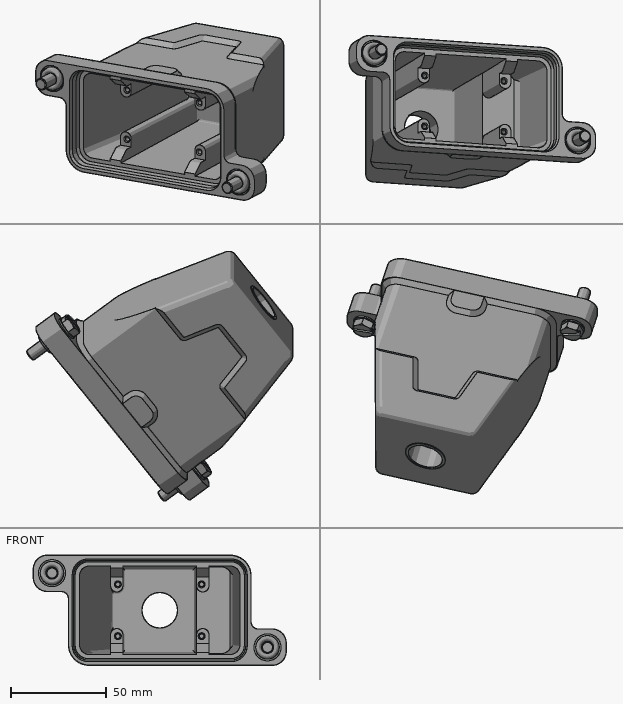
import cadquery as cq
import math


flange_half_x = 48.0
flange_half_z = 29.0
flange_thickness = 12.4
flange_corner_radius = 11.0
ear_reach = 66.5
ear_height = 19.2
ear_corner_radius = 7.5
ear_root_radius = 3.8

skirt_height = 2.5
neck_half_x = flange_half_x - 3.0
neck_half_z = flange_half_z - 2.6
neck_corner_radius = 8.6
hood_length = 99.5
taper_start_y = 35.2
back_half_x = 27.2
side_slope = (neck_half_x - back_half_x) / (hood_length - taper_start_y)
block_edge_radius = 4.0
back_edge_radius = 4.8
block_step = flange_half_z - neck_half_z
block_start_y = 57.8
panel_base_half_x = 15.5
panel_top_half_x = 10.2
panel_top_y = 77.6
panel_base_radius = 3.0
panel_top_radius = 0.5
arch_height = 2.4
arch_half_x = 10.6
arch_top_y = 24.9
arch_corner_radius = 6.9

cable_hole_diameter = 18.5
entry_rim_diameter = 21.6
entry_rim_height = 0.5
entry_rim_root = 2.0

recess_half_x = 46.0
recess_half_z = 27.0
recess_corner_radius = 8.5
recess_step = 0.8
recess_mouth_y = 1.7
recess_wall_end_y = 5.8
recess_depth = 8.0

post_x = 22.6
post_width = 6.4
post_inner_z = 9.65
post_tip_y = 18.8
post_end_flat = 0.1
ramp_foot_z = 22.1
ramp_head_z = 17.4
ramp_head_y = 14.0
ramp_crest_radius = 3.0
post_hole_x = 22.0
post_hole_z = 13.6
post_hole_diameter = 2.4
post_hole_mouth = 3.6
post_hole_depth = 8.0

cavity_half_x = 42.2
cavity_half_z = 23.3
cavity_floor_half_z = 22.1
cavity_corner_radius = 5.4
knee_half_x = 38.4
knee_y = 40.0
cavity_floor_y = 88.0
shelf_y = 45.5
shelf_inner_x = 19.2
shelf_wall_draft = 0.8
floor_fillet = 1.2

screw_x = 56.6
screw_z = 19.5
shaft_diameter = 6.3
shaft_end_y = -11.7
shaft_chamfer = 0.5
collar_diameter = 12.5
collar_height = 0.9
head_top_y = 17.5
hex_corner_diameter = 11.8
hex_angles = (7.3, 24.0)
half_hex_step = 30.0
slot_width = 1.5
slot_depth = 1.9
head_chamfer = 0.6
ring_diameter = 12.4
ring_end_y = -1.9
ring_seat_diameter = 14.2
ring_seat_depth = 1.0


def section_at(y):
    """Workplane across the hood at depth y: local x is X, local y is Z, positive extrusion runs towards -Y."""
    return cq.Workplane(cq.Plane(origin=(0, y, 0), xDir=(1, 0, 0), normal=(0, -1, 0)))


def rounded_block(half_x, half_z, radius, start_y, end_y, taper=0):
    """Rounded rectangular prism along Y, shrinking by the taper angle towards end_y."""
    outline = cq.Sketch().rect(2 * half_x, 2 * half_z).vertices().fillet(radius)
    return section_at(start_y).placeSketch(outline).extrude(start_y - end_y, taper=taper)


def cylinder_y(x, z, diameter, start_y, end_y):
    return section_at(start_y).center(x, z).circle(diameter / 2).extrude(start_y - end_y)


def side_x(y):
    """Half width of the tapered hood outside at depth y."""
    return neck_half_x - side_slope * (y - taper_start_y)


def flange():
    """Mounting flange with one screw ear at each of two opposite corners."""
    ear_inner_z = flange_half_z - ear_height
    half_outline = [
        (flange_half_x, flange_half_z),
        (-ear_reach, flange_half_z),
        (-ear_reach, ear_inner_z),
        (-flange_half_x, ear_inner_z),
    ]
    outline = half_outline + [(-x, -z) for x, z in half_outline]
    plate = section_at(0).polyline(outline).close().extrude(-flange_thickness)

    def fillet_corners(body, corner, radius):
        x, z = corner
        picks = [cq.selectors.NearestToPointSelector((s * x, flange_thickness / 2, s * z)) for s in (1, -1)]
        return body.edges("|Y").edges(picks[0] + picks[1]).fillet(radius)

    radii = [flange_corner_radius, ear_corner_radius, ear_corner_radius, ear_root_radius]
    for corner, radius in zip(half_outline, radii):
        plate = fillet_corners(plate, corner, radius)
    return plate


def hood_outline(start_y):
    """Plan outline of the hood from start_y to its cable end."""
    points = [(side_x(start_y), start_y), (back_half_x, hood_length)]
    if start_y < taper_start_y:
        points = [(neck_half_x, start_y), (neck_half_x, taper_start_y), (back_half_x, hood_length)]
    mirrored = [(-x, y) for x, y in reversed(points)]
    return cq.Workplane("XY").polyline(points + mirrored).close()


def neck():
    """Rounded lower hood, trimmed by the sloping sides, with a flared skirt on the flange."""
    barrel = rounded_block(neck_half_x, neck_half_z, neck_corner_radius, 0, block_start_y)
    trim = hood_outline(0).extrude(flange_half_z, both=True)
    skirt = rounded_block(
        neck_half_x + skirt_height,
        neck_half_z + skirt_height,
        neck_corner_radius + skirt_height,
        flange_thickness,
        flange_thickness + skirt_height,
        taper=45,
    )
    return barrel.intersect(trim).union(skirt)


def sunken_panel():
    """Bevelled pocket above the neck that rises as a trapezoid into the thick end of the hood."""
    points = [
        (2 * neck_half_x, 0),
        (2 * neck_half_x, block_start_y),
        (panel_base_half_x, block_start_y),
        (panel_top_half_x, panel_top_y),
    ]
    mirrored = [(-x, y) for x, y in reversed(points)]
    outline = cq.Sketch().polygon(points + mirrored + points[:1])
    for (x, y), radius in ((points[2], panel_base_radius), (points[3], panel_top_radius)):
        for corner_x in (x, -x):
            corner = cq.selectors.NearestToPointSelector((corner_x, y, 0))
            outline = outline.reset().vertices(corner).fillet(radius)
    pocket = cq.Workplane("XY").workplane(offset=neck_half_z).placeSketch(outline.reset())
    return pocket.extrude(block_step, taper=-45)


def thick_end():
    """Full-height cable end of the hood with rounded edges."""
    block = hood_outline(block_start_y).extrude(flange_half_z, both=True)
    block = block.edges("|X and >Y").fillet(back_edge_radius)
    block = block.edges("not(<Y or |X)").fillet(block_edge_radius)
    panel = sunken_panel()
    return block.cut(panel).cut(panel.mirror("XY"))


def latch_arch():
    """Bevelled arch-shaped pad that joins the hood to the flange edge."""
    outline = (
        cq.Workplane("XY")
        .workplane(offset=neck_half_z)
        .moveTo(-arch_half_x, 0)
        .lineTo(arch_half_x, 0)
        .lineTo(arch_half_x, arch_top_y - arch_corner_radius)
        .radiusArc((arch_half_x - arch_corner_radius, arch_top_y), -arch_corner_radius)
        .lineTo(arch_corner_radius - arch_half_x, arch_top_y)
        .radiusArc((-arch_half_x, arch_top_y - arch_corner_radius), -arch_corner_radius)
        .close()
    )
    return outline.extrude(arch_height, taper=45)


def seal_recess():
    """Recess with a bevelled mouth, a straight wall and a bevelled foot; its floor is the cavity ledge."""
    wall_half_x = recess_half_x - recess_step
    wall_half_z = recess_half_z - recess_step
    wall_radius = recess_corner_radius - recess_step
    mouth_angle = math.degrees(math.atan(recess_step / recess_mouth_y))
    foot_angle = math.degrees(math.atan(recess_step / (recess_depth - recess_wall_end_y)))
    mouth = rounded_block(recess_half_x, recess_half_z, recess_corner_radius, 0, recess_mouth_y, mouth_angle)
    wall = rounded_block(wall_half_x, wall_half_z, wall_radius, recess_mouth_y, recess_wall_end_y)
    foot = rounded_block(wall_half_x, wall_half_z, wall_radius, recess_wall_end_y, recess_depth, foot_angle)
    return mouth.union(wall).union(foot)


def post(side, z_side):
    """Insert post rising from the cavity wall, with a ramped foot at the ledge."""
    far_z = cavity_half_z + 1
    profile = [
        (recess_depth, far_z),
        (recess_depth, ramp_foot_z),
        (ramp_head_y, ramp_head_z),
        (post_tip_y, ramp_head_z),
        (post_tip_y, post_inner_z),
        (cavity_floor_y, post_inner_z),
        (cavity_floor_y, far_z),
    ]
    bar = cq.Workplane("YZ").workplane(offset=side * post_x).polyline(profile).close()
    bar = bar.extrude(post_width / 2, both=True)
    bar = bar.edges("|Y and <Z").fillet((post_width - post_end_flat) / 2)
    crest = cq.selectors.NearestToPointSelector((side * post_x, ramp_head_y, ramp_head_z))
    bar = bar.edges(crest).fillet(ramp_crest_radius)
    return bar if z_side > 0 else bar.mirror("XY")


def post_hole(x, z):
    """Blind hole in a post tip with a countersunk mouth."""
    sink_depth = (post_hole_mouth - post_hole_diameter) / 2
    hole = cylinder_y(x, z, post_hole_diameter, post_tip_y, post_tip_y + post_hole_depth)
    mouth = section_at(post_tip_y).center(x, z).circle(post_hole_mouth / 2).extrude(-sink_depth, taper=45)
    return hole.union(mouth)


def cavity():
    """Inside space: one sloping side wall, a shelf on the other side, and four posts left standing."""
    floor_x = knee_half_x - side_slope * (cavity_floor_y - knee_y)
    shelf_x = knee_half_x - side_slope * (shelf_y - knee_y)
    plan = [
        (-cavity_half_x, recess_depth),
        (-knee_half_x, knee_y),
        (-floor_x, cavity_floor_y),
        (shelf_inner_x - shelf_wall_draft, cavity_floor_y),
        (shelf_inner_x, shelf_y),
        (shelf_x, shelf_y),
        (knee_half_x, knee_y),
        (cavity_half_x, recess_depth),
    ]
    height = [
        (recess_depth, cavity_half_z),
        (cavity_floor_y, cavity_floor_half_z),
        (cavity_floor_y, -cavity_floor_half_z),
        (recess_depth, -cavity_half_z),
    ]
    space = cq.Workplane("XY").polyline(plan).close().extrude(flange_half_z, both=True)
    space = space.intersect(cq.Workplane("YZ").polyline(height).close().extrude(neck_half_x, both=True))
    side_edges = space.edges(cq.selectors.BoxSelector((-60, 9, -30), (-20, 80, 30)))
    side_edges = side_edges.add(space.edges(cq.selectors.BoxSelector((37, 9, -30), (60, 40, 30))))
    space = side_edges.edges("not(|Z)").fillet(cavity_corner_radius)
    for side in (1, -1):
        for z_side in (1, -1):
            space = space.cut(post(side, z_side))
    space = space.faces(">Y").edges().fillet(floor_fillet)
    for side in (1, -1):
        for z_side in (1, -1):
            space = space.union(post_hole(side * post_hole_x, z_side * post_hole_z))
    return space


def cable_entry():
    return cylinder_y(0, 0, cable_hole_diameter, recess_depth, 2 * hood_length)


def hood_housing():
    """Flange, hood and pads joined, then hollowed and drilled for the screws."""
    body = flange().union(neck()).union(thick_end())
    arch = latch_arch()
    body = body.union(arch).union(arch.mirror("XY"))
    rim_start_y = hood_length - entry_rim_root
    body = body.union(cylinder_y(0, 0, entry_rim_diameter, rim_start_y, hood_length + entry_rim_height))
    body = body.cut(seal_recess()).cut(cavity()).cut(cable_entry())
    for side in (1, -1):
        x = -side * screw_x
        z = side * screw_z
        body = body.cut(cylinder_y(x, z, shaft_diameter, 0, flange_thickness))
        body = body.cut(cylinder_y(x, z, ring_seat_diameter, 0, ring_seat_depth))
    return body


def locking_screw(side, hex_angle):
    """Hex screw with collar, slotted head and a rounded retaining ring under the flange."""
    x = -side * screw_x
    z = side * screw_z
    head_y = flange_thickness + collar_height
    shaft = cylinder_y(0, 0, shaft_diameter, shaft_end_y, head_y).faces("<Y").chamfer(shaft_chamfer)
    collar = cylinder_y(0, 0, collar_diameter, flange_thickness, head_y)
    head = section_at(head_y).transformed(rotate=(0, 0, hex_angle)).polygon(6, hex_corner_diameter)
    head = head.extrude(head_y - head_top_y)
    cone = cylinder_y(0, 0, hex_corner_diameter, head_y, head_top_y).faces(">Y").chamfer(head_chamfer)
    head = head.intersect(cone)
    slot = section_at(head_top_y).transformed(rotate=(0, 0, hex_angle - half_hex_step))
    slot = slot.rect(2 * hex_corner_diameter, slot_width).extrude(slot_depth)
    ring_crest_radius = (ring_diameter - shaft_diameter) / 4
    ring = (
        cq.Workplane("XY")
        .moveTo(0, ring_seat_depth)
        .lineTo(ring_diameter / 2, ring_seat_depth)
        .lineTo(ring_diameter / 2, ring_end_y + ring_crest_radius)
        .threePointArc(
            (ring_diameter / 2 - ring_crest_radius, ring_end_y),
            (shaft_diameter / 2, ring_end_y + ring_crest_radius),
        )
        .lineTo(0, ring_end_y + ring_crest_radius)
        .close()
        .revolve(360, (0, 0, 0), (0, 1, 0))
    )
    screw = shaft.union(collar).union(head.cut(slot)).union(ring)
    return screw.translate((x, 0, z))


housing = hood_housing()
screws = [locking_screw(side, hex_angle) for side, hex_angle in zip((1, -1), hex_angles)]
result = cq.Compound.makeCompound([housing.val(), *[screw.val() for screw in screws]])